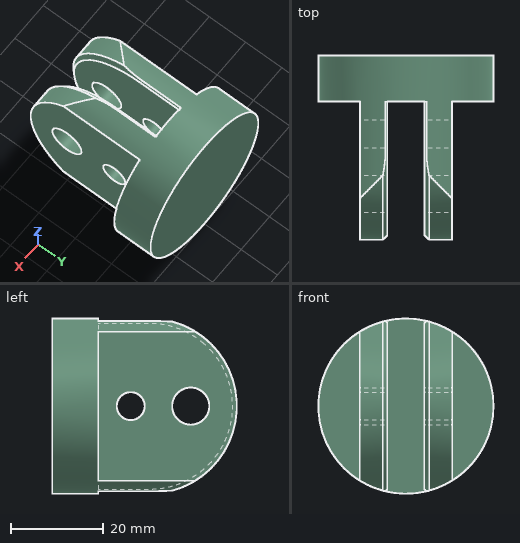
import cadquery as cq

length = 40.0
diameter = 38.0
disc_thickness = 10.0
lug_span = 20.0
slot_width = 8.0
slot_chamfer = 1.0
small_hole_diameter = 6.0
small_hole_y = -17.0
large_hole_diameter = 8.0
large_hole_y = -30.0

radius = diameter / 2
lug_thickness = (lug_span - slot_width) / 2
nose_center_y = radius - length


def lug_blank():
    """Round-nosed plate on the +X side, chamfered along its slot-side rim."""
    return (
        cq.Workplane("YZ", origin=(slot_width / 2, 0, 0))
        .moveTo(0, radius)
        .lineTo(nose_center_y, radius)
        .threePointArc((-length, 0), (nose_center_y, -radius))
        .lineTo(0, -radius)
        .close()
        .extrude(lug_thickness)
        .faces("<X")
        .chamfer(slot_chamfer)
    )


def cross_hole(hole_diameter, y):
    """Cutter along X through both lugs."""
    return (
        cq.Workplane("YZ")
        .center(y, 0)
        .circle(hole_diameter / 2)
        .extrude(lug_span, both=True)
    )


slab_side = 2 * diameter
slab = cq.Workplane("XZ").rect(slab_side, slab_side).extrude(disc_thickness)
right_lug = lug_blank()
left_lug = right_lug.mirror("YZ")
round_bar = cq.Workplane("XZ").circle(radius).extrude(length)
result = slab.union(right_lug).union(left_lug).intersect(round_bar)

for hole_diameter, hole_y in (
    (small_hole_diameter, small_hole_y),
    (large_hole_diameter, large_hole_y),
):
    result = result.cut(cross_hole(hole_diameter, hole_y))